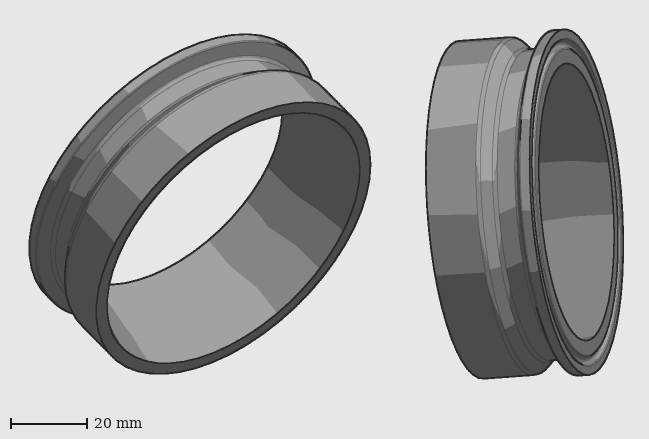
import cadquery as cq
import math

length = 28.55
flange_diameter = 90.9
body_diameter = 88.9
neck_diameter = 81.9
bore_diameter = 72.9
bore_end_diameter = 81.9

rim_width = 2.9
flange_back_angle = 20.0
shoulder_start = 10.8
shoulder_angle = 45.0
rim_round = 0.4
neck_flange_round = 1.2
shoulder_round = 1.6

groove_diameter = 83.5
groove_half_width = 1.5
groove_radius = 1.2
groove_edge_radius = 0.4

flange_r = flange_diameter / 2
body_r = body_diameter / 2
neck_r = neck_diameter / 2
bore_r = bore_diameter / 2
bore_end_r = bore_end_diameter / 2


def revolve_about_x(profile):
    """Revolve a closed profile drawn in (X, radius) about the X axis."""
    return profile.close().revolve(360, (0, 0, 0), (1, 0, 0))


def make_ring():
    neck_start = rim_width + (flange_r - neck_r) * math.tan(math.radians(flange_back_angle))
    shoulder_end = shoulder_start + (body_r - neck_r) / math.tan(math.radians(shoulder_angle))
    ring = revolve_about_x(
        cq.Workplane("XY")
        .moveTo(0, bore_r)
        .lineTo(0, flange_r)
        .lineTo(rim_width, flange_r)
        .lineTo(neck_start, neck_r)
        .lineTo(shoulder_start, neck_r)
        .lineTo(shoulder_end, body_r)
        .lineTo(length, body_r)
        .lineTo(length, bore_end_r)
    )
    corner_rounds = (
        (rim_width, rim_round),
        (neck_start, neck_flange_round),
        (shoulder_start, shoulder_round),
        (shoulder_end, shoulder_round),
    )
    margin = 0.1
    for x, radius in corner_rounds:
        selector = cq.selectors.BoxSelector(
            (x - margin, -flange_diameter, -flange_diameter),
            (x + margin, flange_diameter, flange_diameter),
            boundingbox=True,
        )
        ring = ring.edges(selector).fillet(radius)
    return ring


def make_groove():
    """Rounded trough whose floor arc runs tangent into two rounded edges."""
    center_r = groove_diameter / 2
    side_angle = math.asin(groove_half_width / (groove_radius + groove_edge_radius))
    depth = (groove_radius + groove_edge_radius) * (1 - math.cos(side_angle))

    tangent_x = groove_edge_radius * (1 - math.cos(side_angle))
    tangent_offset = groove_half_width - groove_edge_radius * math.sin(side_angle)
    middle_x = groove_edge_radius * (1 - math.cos(side_angle / 2))
    middle_offset = groove_half_width - groove_edge_radius * math.sin(side_angle / 2)

    return revolve_about_x(
        cq.Workplane("XY")
        .moveTo(0, center_r - groove_half_width)
        .threePointArc((middle_x, center_r - middle_offset), (tangent_x, center_r - tangent_offset))
        .threePointArc((depth, center_r), (tangent_x, center_r + tangent_offset))
        .threePointArc((middle_x, center_r + middle_offset), (0, center_r + groove_half_width))
    )


result = make_ring().cut(make_groove())